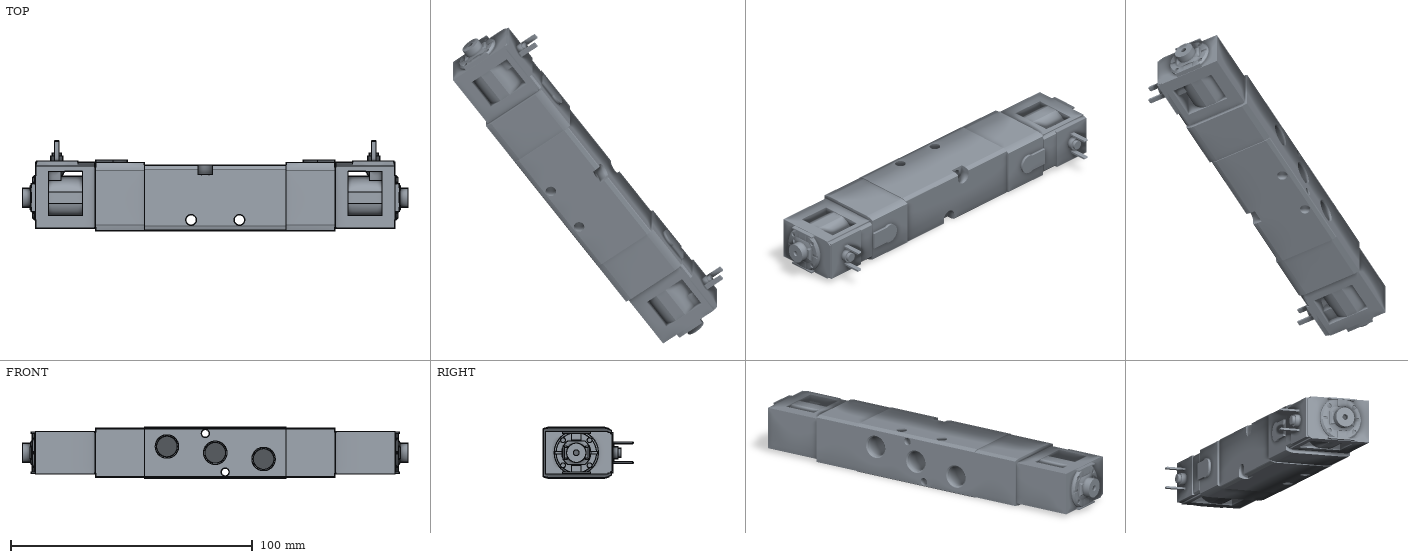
import cadquery as cq
import math


OVERALL_LENGTH = 159.6
OVERALL_DEPTH = 37.3
BODY_LENGTH = 58.6
BODY_DEPTH = 27.3
BODY_HEIGHT = 21.2
CAP_LENGTH = 20.2
CAP_DEPTH = 28.3
CAP_HEIGHT = 20.5
EDGE_BEVEL_INSET = 0.5

BODY_BEVEL_DEPTH = 2.0
BODY_EDGE_BREAK = 0.3
PORT_PITCH = 20.0
PORT_RISE = 2.6
PORT_DIAMETER = 8.57
PORT_MOUTH_DIAMETER = 9.7
PORT_DEPTH = 12.0
PORT_CHAMFER = (PORT_MOUTH_DIAMETER - PORT_DIAMETER) / 2
SIDE_HOLE_DIAMETER = 4.3
SIDE_HOLE_PITCH = 20.0
SIDE_HOLE_Y = 4.5
MOUNT_HOLE_DIAMETER = 3.2
MOUNT_HOLE_X = 4.1
MOUNT_HOLE_Z = 8.0
MOUNT_RECESS_DIAMETER = 6.0
MOUNT_RECESS_DEPTH = 4.0

CAP_BEVEL_DEPTH = 2.5
CAP_ROUND_DEPTH = 3.3
CAP_ROUND_INSET = 1.0
CAP_ROUND_BULGE = 0.2
OVERRIDE_DIAMETER = 8.0
OVERRIDE_HEIGHT = 1.1
OVERRIDE_TONGUE_WIDTH = 7.0
OVERRIDE_OFFSET = 11.1

SOLENOID_LENGTH = 24.8
SOLENOID_FRONT = 1.0
SOLENOID_BACK = 26.8
SOLENOID_HEIGHT = 17.7
NECK_LENGTH = 0.3
NECK_INSET = 0.4
LID_DEPTH = 1.6
LID_HEIGHT = 16.6
LID_BEVEL = 0.8
PLATE_DEPTH = 2.1
PLATE_LENGTH = 17.0
PLATE_HEIGHT = 16.6
PLATE_INSET = 0.4

WINDOW_LENGTH = 14.0
WINDOW_END_WALL = 5.3
WINDOW_FRONT = 6.4
WINDOW_BACK = 24.6
AXIS_Y = 13.7
COIL_FLAT_WIDTH = 4.7
COIL_FLAT_HEIGHT = 17.2
COIL_RADIUS = math.hypot(COIL_FLAT_HEIGHT / 2, COIL_FLAT_WIDTH / 2)
BLOCK_LENGTH = 5.2
BLOCK_DEPTH = 3.8
BLOCK_HEIGHT = 12.0
NUT_SEAT_RADIUS = 3.3
NUT_SEAT_TIP_RADIUS = 2.0
NUT_SEAT_DEPTH = 2.2

TERMINAL_OFFSET = 8.7
BLADE_WIDTH = 2.0
BLADE_THICKNESS = 0.8
BLADE_SPACING = 8.2
BLADE_TIP = 0.3
SCREW_BASE_DIAMETER = 5.0
SCREW_BASE_HEIGHT = 2.1
SCREW_NECK_DIAMETER = 3.8
SCREW_NECK_HEIGHT = 1.3

DISC_DIAMETER = 18.3
DISC_THICKNESS = 1.4
DISC_CHAMFER = 0.8
FITTING_HEIGHT = 17.3
DISC_SLOT_WIDTH = 1.2
DISC_SLOT_DEPTH = 0.4
COLLAR_DIAMETER = 12.0
COLLAR_HEIGHT = 0.8
COLLAR_WIDTH = 9.8
LUG_REACH = 5.4
LUG_HEIGHT = 5.6
LUG_LENGTH = 2.4
LUG_CHAMFER = 0.6
PIT_DIAMETER = 2.01
PIT_DEPTH = 0.6
PIT_Y = 5.5
PIT_Z = 5.2
RIM_RIB_WIDTH = 11.6
RIM_RIB_THICKNESS = 0.6
RIM_RIB_LENGTH = 1.9
STOP_WIDTH = 4.0
STOP_INNER_Z = 5.2
STOP_LENGTH = 1.6
KNOB_DIAMETER = 8.0
KNOB_HOLE_DIAMETER = 2.4
KNOB_HOLE_DEPTH = 2.0

BODY_END_X = -BODY_LENGTH / 2
CAP_END_X = BODY_END_X - CAP_LENGTH
SOLENOID_END_X = CAP_END_X - SOLENOID_LENGTH
KNOB_END_X = -OVERALL_LENGTH / 2
WINDOW_X = SOLENOID_END_X + WINDOW_END_WALL
TERMINAL_X = SOLENOID_END_X + TERMINAL_OFFSET


def block(x_range, y_range, height):
    """Box centred on Z = 0 between two X and two Y positions."""
    length = x_range[1] - x_range[0]
    depth = y_range[1] - y_range[0]
    return (
        cq.Workplane("XY")
        .box(length, depth, height, centered=(False, False, True))
        .translate((x_range[0], y_range[0], 0))
    )


def rod_along_x(x_start, length, radius):
    """Cylinder on the solenoid axis, running toward +X."""
    return cq.Workplane("YZ", origin=(x_start, AXIS_Y, 0)).circle(radius).extrude(length)


def post_along_y(x, y_start, z, length, diameter):
    """Cylinder running toward +Y."""
    plane = cq.Plane(origin=(x, y_start, z), xDir=(1, 0, 0), normal=(0, 1, 0))
    return cq.Workplane(plane).circle(diameter / 2).extrude(length)


def make_mount_recess(x, z):
    """Round-bottomed recess at the back, open toward the nearer top or bottom face."""
    recess_y = BODY_DEPTH - MOUNT_RECESS_DEPTH
    recess = post_along_y(x, recess_y, z, MOUNT_RECESS_DEPTH, MOUNT_RECESS_DIAMETER)
    radius = MOUNT_RECESS_DIAMETER / 2
    opening_height = BODY_HEIGHT / 2 - MOUNT_HOLE_Z
    opening = block((x - radius, x + radius), (recess_y, BODY_DEPTH), opening_height)
    opening_z = math.copysign(MOUNT_HOLE_Z + opening_height / 2, z)
    return recess.union(opening.translate((0, 0, opening_z)))


def make_valve_body():
    half = BODY_HEIGHT / 2
    side = half - EDGE_BEVEL_INSET
    lip = side - BODY_EDGE_BREAK
    body = (
        cq.Workplane("YZ", origin=(BODY_END_X, 0, 0))
        .moveTo(0, 0)
        .lineTo(0, lip)
        .lineTo(BODY_EDGE_BREAK, side)
        .lineTo(BODY_BEVEL_DEPTH, half)
        .lineTo(BODY_DEPTH - BODY_BEVEL_DEPTH, half)
        .lineTo(BODY_DEPTH - BODY_EDGE_BREAK, side)
        .lineTo(BODY_DEPTH, lip)
        .lineTo(BODY_DEPTH, 0)
        .close()
        .extrude(BODY_LENGTH)
    )
    body = body.union(body.mirror("XY"))

    for step in (-1, 0, 1):
        x = step * PORT_PITCH
        z = -step * PORT_RISE
        body = body.cut(post_along_y(x, 0, z, PORT_DEPTH, PORT_DIAMETER))
        mouth = cq.Solid.makeCone(
            PORT_MOUTH_DIAMETER / 2, PORT_DIAMETER / 2, PORT_CHAMFER,
            cq.Vector(x, 0, z), cq.Vector(0, 1, 0),
        )
        body = body.cut(cq.Workplane(mouth))

    for side_sign in (-1, 1):
        vertical_hole = (
            cq.Workplane("XY", origin=(side_sign * SIDE_HOLE_PITCH / 2, SIDE_HOLE_Y, -half))
            .circle(SIDE_HOLE_DIAMETER / 2)
            .extrude(BODY_HEIGHT)
        )
        body = body.cut(vertical_hole)

        x = side_sign * MOUNT_HOLE_X
        z = -side_sign * MOUNT_HOLE_Z
        body = body.cut(post_along_y(x, 0, z, BODY_DEPTH, MOUNT_HOLE_DIAMETER))
        body = body.cut(make_mount_recess(x, z))
    return body


def make_end_cap():
    half = CAP_HEIGHT / 2
    round_start = CAP_DEPTH - CAP_ROUND_DEPTH
    round_mid = (
        CAP_DEPTH - CAP_ROUND_DEPTH / 2,
        half - CAP_ROUND_INSET / 2 + CAP_ROUND_BULGE,
    )
    cap = (
        cq.Workplane("YZ", origin=(CAP_END_X, 0, 0))
        .moveTo(0, 0)
        .lineTo(0, half - EDGE_BEVEL_INSET)
        .lineTo(CAP_BEVEL_DEPTH, half)
        .lineTo(round_start, half)
        .threePointArc(round_mid, (CAP_DEPTH, half - CAP_ROUND_INSET))
        .lineTo(CAP_DEPTH, 0)
        .close()
        .extrude(CAP_LENGTH)
    )
    cap = cap.union(cap.mirror("XY"))

    override_x = BODY_END_X - OVERRIDE_OFFSET
    boss = post_along_y(override_x, CAP_DEPTH, 0, OVERRIDE_HEIGHT, OVERRIDE_DIAMETER)
    tongue = block(
        (CAP_END_X, override_x), (CAP_DEPTH, CAP_DEPTH + OVERRIDE_HEIGHT), OVERRIDE_TONGUE_WIDTH
    )
    return cap.union(boss).union(tongue)


def make_solenoid_frame():
    """Case with its lid and the window that bares the coil."""
    case_end_x = CAP_END_X - NECK_LENGTH
    frame = block((SOLENOID_END_X, case_end_x), (SOLENOID_FRONT, SOLENOID_BACK), SOLENOID_HEIGHT)
    neck = block(
        (case_end_x, CAP_END_X),
        (SOLENOID_FRONT + NECK_INSET, SOLENOID_BACK - NECK_INSET),
        SOLENOID_HEIGHT - 2 * NECK_INSET,
    )
    frame = frame.union(neck)

    window = block(
        (WINDOW_X, WINDOW_X + WINDOW_LENGTH), (WINDOW_FRONT, WINDOW_BACK), SOLENOID_HEIGHT
    )
    coil = rod_along_x(WINDOW_X, WINDOW_LENGTH, COIL_RADIUS)
    coil = coil.intersect(block(
        (WINDOW_X, WINDOW_X + WINDOW_LENGTH), (SOLENOID_FRONT, SOLENOID_BACK), COIL_FLAT_HEIGHT
    ))
    frame = frame.cut(window.cut(coil))

    terminal_block = block(
        (WINDOW_X, WINDOW_X + BLOCK_LENGTH), (WINDOW_BACK - BLOCK_DEPTH, WINDOW_BACK), BLOCK_HEIGHT
    )
    nut_seat = cq.Solid.makeCone(
        NUT_SEAT_RADIUS, NUT_SEAT_TIP_RADIUS, NUT_SEAT_DEPTH,
        cq.Vector(TERMINAL_X, WINDOW_BACK, 0), cq.Vector(0, -1, 0),
    )
    frame = frame.union(terminal_block).union(cq.Workplane(nut_seat))

    lid = block((SOLENOID_END_X, case_end_x), (SOLENOID_BACK, SOLENOID_BACK + LID_DEPTH), LID_HEIGHT)
    lid = lid.faces(">Y").edges("|X").chamfer(LID_BEVEL)
    plate_start = SOLENOID_END_X + PLATE_INSET
    plate = block(
        (plate_start, plate_start + PLATE_LENGTH),
        (SOLENOID_BACK, SOLENOID_BACK + PLATE_DEPTH),
        PLATE_HEIGHT,
    )
    return frame.union(lid).union(plate)


def make_terminals():
    """Two contact blades and the stepped post between them."""
    seat_y = SOLENOID_BACK
    plate_y = SOLENOID_BACK + PLATE_DEPTH
    neck_y = plate_y + SCREW_BASE_HEIGHT
    terminals = post_along_y(TERMINAL_X, seat_y, 0, neck_y - seat_y, SCREW_BASE_DIAMETER)
    neck = post_along_y(TERMINAL_X, neck_y, 0, SCREW_NECK_HEIGHT, SCREW_NECK_DIAMETER)
    terminals = terminals.union(neck)
    blade = block(
        (TERMINAL_X - BLADE_WIDTH / 2, TERMINAL_X + BLADE_WIDTH / 2),
        (seat_y, OVERALL_DEPTH),
        BLADE_THICKNESS,
    )
    blade = blade.faces(">Y").edges().chamfer(BLADE_TIP)
    for side_sign in (-1, 1):
        terminals = terminals.union(blade.translate((0, 0, side_sign * BLADE_SPACING / 2)))
    return terminals


def make_end_fitting():
    """Flat-sided retaining disc with collar, lugs, ribs and the round knob."""
    disc_x = SOLENOID_END_X - DISC_THICKNESS
    half = FITTING_HEIGHT / 2
    fitting = (
        rod_along_x(disc_x, DISC_THICKNESS, DISC_DIAMETER / 2)
        .faces("<X")
        .chamfer(DISC_CHAMFER)
    )
    flat_sides = block((disc_x, SOLENOID_END_X), (0, SOLENOID_BACK), FITTING_HEIGHT)
    fitting = fitting.intersect(flat_sides)
    slot = block((disc_x, disc_x + DISC_SLOT_DEPTH), (0, SOLENOID_BACK), DISC_SLOT_WIDTH)
    fitting = fitting.cut(slot)
    for y in (AXIS_Y - PIT_Y, AXIS_Y + PIT_Y):
        for z in (-PIT_Z, PIT_Z):
            pit = cq.Workplane("YZ", origin=(disc_x, y, z)).circle(PIT_DIAMETER / 2).extrude(PIT_DEPTH)
            fitting = fitting.cut(pit)

    collar = cq.Workplane(cq.Solid.makeCone(
        COLLAR_DIAMETER / 2, KNOB_DIAMETER / 2, COLLAR_HEIGHT,
        cq.Vector(disc_x, AXIS_Y, 0), cq.Vector(-1, 0, 0),
    ))
    collar_sides = block((disc_x - COLLAR_HEIGHT, disc_x), (0, SOLENOID_BACK), COLLAR_WIDTH)
    fitting = fitting.union(collar.intersect(collar_sides))

    lugs = block(
        (SOLENOID_END_X - LUG_LENGTH, SOLENOID_END_X),
        (AXIS_Y - LUG_REACH, AXIS_Y + LUG_REACH),
        LUG_HEIGHT,
    )
    lugs = lugs.faces("<X").edges().chamfer(LUG_CHAMFER)
    fitting = fitting.union(lugs)

    rib = block(
        (SOLENOID_END_X - RIM_RIB_LENGTH, SOLENOID_END_X),
        (AXIS_Y - RIM_RIB_WIDTH / 2, AXIS_Y + RIM_RIB_WIDTH / 2),
        RIM_RIB_THICKNESS,
    )
    stop_height = half - STOP_INNER_Z
    stop = block(
        (SOLENOID_END_X - STOP_LENGTH, SOLENOID_END_X),
        (AXIS_Y - STOP_WIDTH / 2, AXIS_Y + STOP_WIDTH / 2),
        stop_height,
    )
    for side_sign in (-1, 1):
        rib_z = side_sign * (half - RIM_RIB_THICKNESS / 2)
        stop_z = side_sign * (half - stop_height / 2)
        fitting = fitting.union(rib.translate((0, 0, rib_z)))
        fitting = fitting.union(stop.translate((0, 0, stop_z)))

    knob = rod_along_x(KNOB_END_X, SOLENOID_END_X - KNOB_END_X, KNOB_DIAMETER / 2)
    knob_hole = rod_along_x(KNOB_END_X, KNOB_HOLE_DEPTH, KNOB_HOLE_DIAMETER / 2)
    return fitting.union(knob).cut(knob_hole)


def make_solenoid():
    return make_solenoid_frame().union(make_terminals()).union(make_end_fitting())


valve_body = make_valve_body()
end_cap = make_end_cap()
solenoid = make_solenoid()

bodies = [valve_body.val()]
for left_part in (end_cap, solenoid):
    for part in (left_part, left_part.mirror("YZ")):
        bodies.extend(part.solids().vals())

result = cq.Compound.makeCompound(bodies)